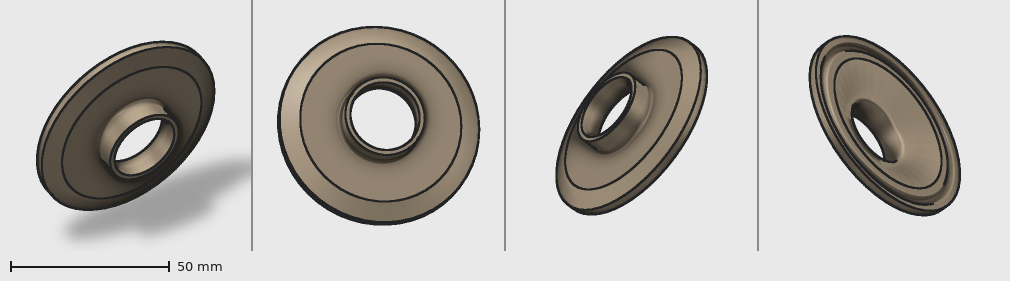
import cadquery as cq
import math

overall_length = 12.7
flange_diameter = 63.91
tube_outer_diameter = 25.4
tube_bore_diameter = 22.1

rim_thickness = 2.84
back_face_radius = 25.8
clamp_angle = math.radians(20)
neck_fillet_radius = 1.25

mouth_radius = 23.75
mouth_angle = math.radians(20)
throat_radius = 1.5

groove_center_radius = 28.17
groove_depth = 1.6
groove_floor_radius = 1.2
groove_lip_radius = 0.75
groove_wall_angle = math.radians(67)

flange_radius = flange_diameter / 2
tube_radius = tube_outer_diameter / 2
bore_radius = tube_bore_diameter / 2
flange_thickness = rim_thickness + (flange_radius - back_face_radius) * math.tan(clamp_angle)


def revolve_about_axis(outline):
    """Turn a closed XY outline into a solid about the X axis."""
    return outline.revolve(360, (0, 0, 0), (1, 0, 0))


def make_body():
    """Flange, tube, bore and conical mouth, without the groove."""
    throat_center_y = bore_radius + throat_radius
    cone_end_y = throat_center_y - throat_radius * math.sin(mouth_angle)
    cone_end_x = (mouth_radius - cone_end_y) * math.tan(mouth_angle)
    throat_center_x = cone_end_x + throat_radius * math.cos(mouth_angle)
    throat_middle_angle = (mouth_angle + math.pi / 2) / 2
    throat_middle = (
        throat_center_x - throat_radius * math.cos(throat_middle_angle),
        throat_center_y - throat_radius * math.sin(throat_middle_angle),
    )

    neck_inset = neck_fillet_radius * (1 - math.cos(math.pi / 4))
    neck_middle = (flange_thickness + neck_inset, tube_radius + neck_inset)

    outline = (
        cq.Workplane("XY")
        .moveTo(0, mouth_radius)
        .lineTo(0, flange_radius)
        .lineTo(rim_thickness, flange_radius)
        .lineTo(flange_thickness, back_face_radius)
        .lineTo(flange_thickness, tube_radius + neck_fillet_radius)
        .threePointArc(neck_middle, (flange_thickness + neck_fillet_radius, tube_radius))
        .lineTo(overall_length, tube_radius)
        .lineTo(overall_length, bore_radius)
        .lineTo(throat_center_x, bore_radius)
        .threePointArc(throat_middle, (cone_end_x, cone_end_y))
        .close()
    )
    return revolve_about_axis(outline)


def make_groove():
    """Ring cutter: rounded lips, steep straight walls and a round floor."""
    arcs_depth = (groove_floor_radius + groove_lip_radius) * (1 - math.cos(groove_wall_angle))
    wall_width = (groove_depth - arcs_depth) / math.tan(groove_wall_angle)
    floor_half_width = groove_floor_radius * math.sin(groove_wall_angle)
    lip_width = groove_lip_radius * math.sin(groove_wall_angle)
    half_width = floor_half_width + wall_width + lip_width

    def lip_point(side, angle):
        """Point on a lip where its slope is `angle`; side is -1 inner, +1 outer."""
        offset = half_width - groove_lip_radius * math.sin(angle)
        return (groove_lip_radius * (1 - math.cos(angle)), groove_center_radius + side * offset)

    def floor_end(side):
        """Point where the round floor meets the straight wall on one side."""
        x = groove_depth - groove_floor_radius * (1 - math.cos(groove_wall_angle))
        return (x, groove_center_radius + side * floor_half_width)

    outline = (
        cq.Workplane("XY")
        .moveTo(*lip_point(-1, 0))
        .threePointArc(lip_point(-1, groove_wall_angle / 2), lip_point(-1, groove_wall_angle))
        .lineTo(*floor_end(-1))
        .threePointArc((groove_depth, groove_center_radius), floor_end(1))
        .lineTo(*lip_point(1, groove_wall_angle))
        .threePointArc(lip_point(1, groove_wall_angle / 2), lip_point(1, 0))
        .close()
    )
    return revolve_about_axis(outline)


result = make_body().cut(make_groove())